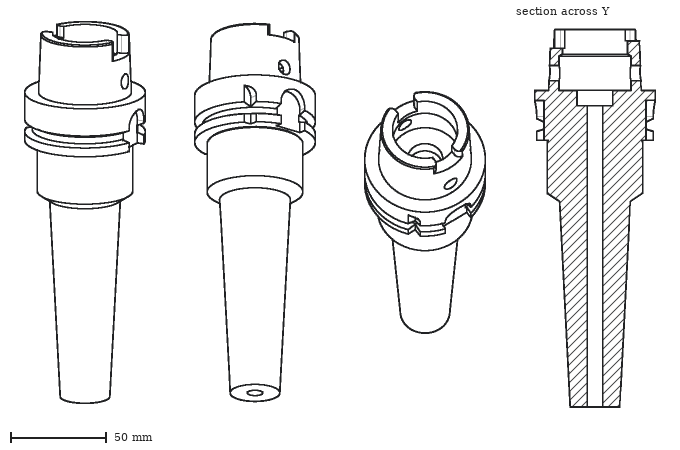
import cadquery as cq
import math

TOTAL_LENGTH = 197.0

SHANK_LENGTH = 32.0
SHANK_TOP_RADIUS = 23.0
SHANK_BASE_RADIUS = 24.2
SHANK_CHAMFER = 0.8

FLANGE_RADIUS = 31.5
FLANGE_LENGTH = 26.0
GROOVE_RADIUS = 27.5
GROOVE_TOP_DEPTH = 14.8
GROOVE_BOTTOM_DEPTH = 21.3
GROOVE_UPPER_BEVEL = 1.8
GROOVE_LOWER_BEVEL = 1.2

BODY_RADIUS = 25.0
BODY_CHAMFER = 0.8
BODY_END_Z = 111.5
NOSE_BASE_Z = 107.2
NOSE_BASE_RADIUS = 18.5
NOSE_TIP_RADIUS = 13.0

MOUTH_RADIUS = 17.0
MOUTH_DEPTH = 13.0
UNDERCUT_RADIUS = 18.7
UNDERCUT_ANGLE = 60.0
CAVITY_DEPTH = 32.0
POCKET_RADIUS = 9.3
POCKET_DEPTH = 7.9
THROUGH_RADIUS = 4.04

DRIVE_HALF_WIDTH = 6.1
DRIVE_DEPTH_LEFT = 6.1
DRIVE_DEPTH_RIGHT = 9.8
DRIVE_FLARE_RADIUS = 3.0
DRIVE_FLARE_START = 18.1

CROSS_HOLE_RADIUS = 4.0
CROSS_HOLE_DEPTH = 22.9

KEYWAY_RADIUS = 8.0
KEYWAY_FLOOR = 26.5
KEYWAY_TOP_DEPTH = 5.3

NOTCH_FLOOR = 19.9
NOTCH_RADIUS = 5.7
NOTCH_TOP_DEPTH = 5.5

FLANGE_TOP_Z = TOTAL_LENGTH - SHANK_LENGTH
FLANGE_BOTTOM_Z = FLANGE_TOP_Z - FLANGE_LENGTH
CLEARANCE = 9.8


def make_body():
    groove_top = FLANGE_TOP_Z - GROOVE_TOP_DEPTH
    groove_bottom = FLANGE_TOP_Z - GROOVE_BOTTOM_DEPTH
    profile = [
        (0, 0),
        (NOSE_TIP_RADIUS, 0),
        (NOSE_BASE_RADIUS, NOSE_BASE_Z),
        (BODY_RADIUS, BODY_END_Z),
        (BODY_RADIUS, FLANGE_BOTTOM_Z - BODY_CHAMFER),
        (BODY_RADIUS - BODY_CHAMFER, FLANGE_BOTTOM_Z),
        (FLANGE_RADIUS, FLANGE_BOTTOM_Z),
        (FLANGE_RADIUS, groove_bottom),
        (GROOVE_RADIUS, groove_bottom + GROOVE_LOWER_BEVEL),
        (GROOVE_RADIUS, groove_top - GROOVE_UPPER_BEVEL),
        (FLANGE_RADIUS, groove_top),
        (FLANGE_RADIUS, FLANGE_TOP_Z),
        (SHANK_BASE_RADIUS, FLANGE_TOP_Z),
        (SHANK_TOP_RADIUS, TOTAL_LENGTH - SHANK_CHAMFER),
        (SHANK_TOP_RADIUS - SHANK_CHAMFER, TOTAL_LENGTH),
        (0, TOTAL_LENGTH),
    ]
    return cq.Workplane("XZ").polyline(profile).close().revolve(360, (0, 0), (0, 1))


def make_cavity():
    mouth_end = TOTAL_LENGTH - MOUTH_DEPTH
    undercut_width = UNDERCUT_RADIUS - MOUTH_RADIUS
    undercut_start = mouth_end - undercut_width / math.tan(math.radians(UNDERCUT_ANGLE))
    cavity_floor = TOTAL_LENGTH - CAVITY_DEPTH
    pocket_floor = cavity_floor - POCKET_DEPTH
    profile = [
        (0, 0),
        (THROUGH_RADIUS, 0),
        (THROUGH_RADIUS, pocket_floor),
        (POCKET_RADIUS, pocket_floor),
        (POCKET_RADIUS, cavity_floor),
        (UNDERCUT_RADIUS, cavity_floor),
        (UNDERCUT_RADIUS, undercut_start),
        (MOUTH_RADIUS, mouth_end),
        (MOUTH_RADIUS, TOTAL_LENGTH),
        (0, TOTAL_LENGTH),
    ]
    return cq.Workplane("XZ").polyline(profile).close().revolve(360, (0, 0), (0, 1))


def make_drive_slot(side, depth):
    """Slot on the +X (side = 1) or -X (side = -1) rim, flaring outward in quarter arcs."""
    flare_end = side * (DRIVE_FLARE_START + DRIVE_FLARE_RADIUS)
    flare_start = side * DRIVE_FLARE_START
    outer_end = side * FLANGE_RADIUS
    flare_half_width = DRIVE_HALF_WIDTH + DRIVE_FLARE_RADIUS
    arc_offset = DRIVE_FLARE_RADIUS * math.sqrt(0.5)
    arc_x = flare_start + side * arc_offset
    arc_y = flare_half_width - arc_offset
    return (
        cq.Workplane("XY", origin=(0, 0, TOTAL_LENGTH - depth))
        .moveTo(0, -DRIVE_HALF_WIDTH)
        .lineTo(flare_start, -DRIVE_HALF_WIDTH)
        .threePointArc((arc_x, -arc_y), (flare_end, -flare_half_width))
        .lineTo(outer_end, -flare_half_width)
        .lineTo(outer_end, flare_half_width)
        .lineTo(flare_end, flare_half_width)
        .threePointArc((arc_x, arc_y), (flare_start, DRIVE_HALF_WIDTH))
        .lineTo(0, DRIVE_HALF_WIDTH)
        .close()
        .extrude(depth + CLEARANCE)
    )


def make_cross_hole():
    return (
        cq.Workplane("YZ")
        .center(0, TOTAL_LENGTH - CROSS_HOLE_DEPTH)
        .circle(CROSS_HOLE_RADIUS)
        .extrude(FLANGE_RADIUS, both=True)
    )


def make_flange_slot(side, floor, radius, center_y, top_depth):
    """Round-topped slot, open at the flange underside, with a flat floor facing along X."""
    arc_z = FLANGE_TOP_Z - top_depth - radius
    return (
        cq.Workplane("YZ", origin=(side * floor, 0, 0))
        .moveTo(center_y - radius, FLANGE_BOTTOM_Z)
        .lineTo(center_y - radius, arc_z)
        .threePointArc((center_y, arc_z + radius), (center_y + radius, arc_z))
        .lineTo(center_y + radius, FLANGE_BOTTOM_Z)
        .close()
        .extrude(side * (FLANGE_RADIUS + CLEARANCE - floor))
    )


result = make_body().cut(make_cavity()).cut(make_cross_hole())

for side, drive_depth in ((-1, DRIVE_DEPTH_LEFT), (1, DRIVE_DEPTH_RIGHT)):
    result = result.cut(make_drive_slot(side, drive_depth))
    result = result.cut(make_flange_slot(side, KEYWAY_FLOOR, KEYWAY_RADIUS, 0, KEYWAY_TOP_DEPTH))

notch_center_y = NOTCH_FLOOR + NOTCH_RADIUS
result = result.cut(make_flange_slot(-1, NOTCH_FLOOR, NOTCH_RADIUS, notch_center_y, NOTCH_TOP_DEPTH))